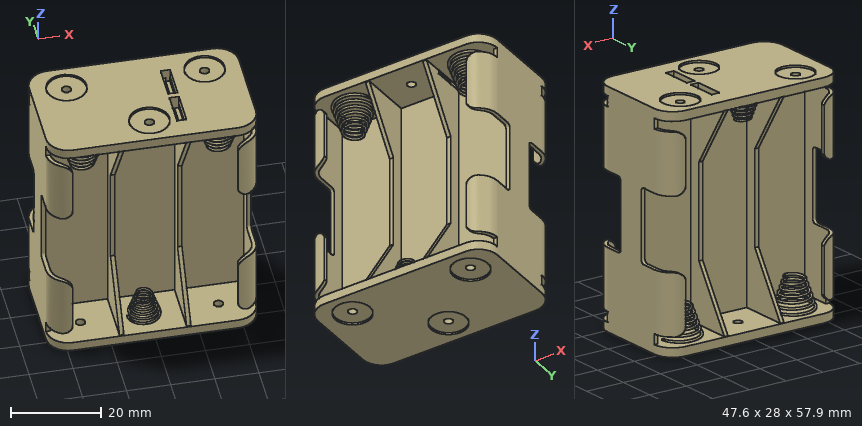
import cadquery as cq
import math


LENGTH = 47.6
DEPTH = 28.0
HEIGHT = 57.9
CORNER_RADIUS = 5.0
PLATE_THICKNESS = 2.3
SIDE_WALL = 1.0
MIDDLE_WALL = 1.6
INNER_HEIGHT = HEIGHT - 2 * PLATE_THICKNESS
INNER_TOP = INNER_HEIGHT / 2
FLAT_HALF_DEPTH = DEPTH / 2 - CORNER_RADIUS

WINDOW_HEIGHT = 18.0
WINDOW_BRIDGE = 7.9
WINDOW_FILLET = 1.0
LIP_GAP = 2.5
LIP_ROUND_RADIUS = 3.0
LIP_ROUND_HEIGHT = 1.75
LIP_ROUND_WIDTH = math.sqrt(LIP_ROUND_RADIUS**2 - (LIP_ROUND_RADIUS - LIP_ROUND_HEIGHT) ** 2)
LIP_HEIGHT = (INNER_HEIGHT - WINDOW_HEIGHT) / 2 - LIP_GAP

RIB_MIDDLE_REACH = WINDOW_BRIDGE / 2
RIB_OFFSET = 7.6
RIB_THICKNESS = 1.0
RIB_END_REACH = 13.7
RIB_SLOPE_HEIGHT = 15.0

CONTACT_PITCH = 15.65
CONTACT_OFFSET = 7.45
RECESS_DIAMETER = 9.1
RECESS_DEPTH = 0.5
RIVET_HOLE_DIAMETER = 2.1

SLOT_START = 0.72
SLOT_LENGTH = 8.05
SLOT_LEFT = 5.95
SLOT_WIDTH = RIB_OFFSET + RIB_THICKNESS / 2 - SLOT_LEFT
SLOT_NOTCH = 0.9
SLOT_DEPTH = PLATE_THICKNESS + SLOT_NOTCH

SPRING_TURNS = 6
SPRING_Y = -7.5
LARGE_SPRING_XS = (-15.32, 15.56)
LARGE_BASE_RADIUS = 4.87
LARGE_TIP_RADIUS = 2.05
LARGE_HEIGHT = 8.2
LARGE_WIRE = 0.6
SMALL_SPRING_X = -1.24
SMALL_BASE_RADIUS = 3.7
SMALL_TIP_RADIUS = 1.4
SMALL_HEIGHT = 6.5
SMALL_WIRE = 0.5


def half_turn_about_x(shape):
    return shape.rotate((0, 0, 0), (1, 0, 0), 180)


def make_shell():
    """Rounded box, open at the front and back between the wrapped side walls."""
    body = cq.Workplane("XY").box(LENGTH, DEPTH, HEIGHT).edges("|Z").fillet(CORNER_RADIUS)
    cavity = (
        cq.Workplane("XY")
        .box(LENGTH - 2 * SIDE_WALL, DEPTH - 2 * SIDE_WALL, INNER_HEIGHT)
        .edges("|Z")
        .fillet(CORNER_RADIUS - SIDE_WALL)
    )
    open_face = cq.Workplane("XY").box(LENGTH - 2 * CORNER_RADIUS, DEPTH, INNER_HEIGHT)
    return body.cut(cavity).cut(open_face)


def make_lip_corner():
    """Waste outside the rounded corner of one lip, its square corner at X = 0, Z = 0."""
    block = cq.Workplane("XZ").rect(-LIP_ROUND_WIDTH, LIP_ROUND_HEIGHT, centered=False)
    rounding = cq.Workplane("XZ").center(-LIP_ROUND_WIDTH, LIP_ROUND_RADIUS).circle(LIP_ROUND_RADIUS)
    return block.extrude(CORNER_RADIUS).cut(rounding.extrude(CORNER_RADIUS))


def make_side_opening():
    """Front half of the side-wall openings, cut through both side walls."""
    cut_depth = DEPTH / 2 - WINDOW_BRIDGE / 2
    opening = (
        cq.Workplane("XY")
        .box(LENGTH, cut_depth, WINDOW_HEIGHT)
        .edges("|X and >Y")
        .fillet(WINDOW_FILLET)
        .translate((0, -DEPTH / 2 + cut_depth / 2, 0))
    )
    gap = (
        cq.Workplane("XY")
        .box(LENGTH, CORNER_RADIUS, LIP_GAP)
        .translate((0, -DEPTH / 2 + CORNER_RADIUS / 2, INNER_TOP - LIP_GAP / 2))
    )
    opening = opening.union(gap).union(gap.mirror("XY"))

    lip_end_x = -LENGTH / 2 + CORNER_RADIUS
    lower_corner = make_lip_corner().translate((lip_end_x, -FLAT_HALF_DEPTH, WINDOW_HEIGHT / 2))
    upper_corner = make_lip_corner().mirror("XY")
    upper_corner = upper_corner.translate((lip_end_x, -FLAT_HALF_DEPTH, INNER_TOP - LIP_GAP))
    for corner in (lower_corner, upper_corner):
        corner_pair = corner.union(corner.mirror("YZ"))
        opening = opening.union(corner_pair).union(corner_pair.mirror("XY"))
    return opening


def make_rib(x):
    """Rib spanning front and back, wide at the plates and narrow at mid height."""
    slope_end = INNER_TOP - RIB_SLOPE_HEIGHT
    return (
        cq.Workplane("YZ", origin=(x - RIB_THICKNESS / 2, 0, 0))
        .moveTo(RIB_END_REACH, INNER_TOP)
        .lineTo(RIB_MIDDLE_REACH, slope_end)
        .lineTo(RIB_MIDDLE_REACH, -slope_end)
        .lineTo(RIB_END_REACH, -INNER_TOP)
        .lineTo(-RIB_END_REACH, -INNER_TOP)
        .lineTo(-RIB_MIDDLE_REACH, -slope_end)
        .lineTo(-RIB_MIDDLE_REACH, slope_end)
        .lineTo(-RIB_END_REACH, INNER_TOP)
        .close()
        .extrude(RIB_THICKNESS)
    )


def make_top_contact_cuts():
    """Recessed rivet holes in the top plate."""
    places = [
        (-CONTACT_PITCH, CONTACT_OFFSET),
        (CONTACT_PITCH, CONTACT_OFFSET),
        (0, -CONTACT_OFFSET),
    ]
    top_face = cq.Workplane("XY", origin=(0, 0, HEIGHT / 2)).pushPoints(places)
    recesses = top_face.circle(RECESS_DIAMETER / 2).extrude(-RECESS_DEPTH)
    holes = top_face.circle(RIVET_HOLE_DIAMETER / 2).extrude(-PLATE_THICKNESS)
    return recesses.union(holes)


def make_wire_slot(side):
    """One wire slot beside the right-hand rib, notching the rib and middle wall below it."""
    slot = cq.Workplane("XY").box(SLOT_WIDTH, SLOT_LENGTH, SLOT_DEPTH)
    centre_y = side * (SLOT_START + SLOT_LENGTH / 2)
    return slot.translate((SLOT_LEFT + SLOT_WIDTH / 2, centre_y, HEIGHT / 2 - SLOT_DEPTH / 2))


def make_spring(base_radius, tip_radius, height, wire):
    """Conical coil rising along +Z, its base coil centred on the XY plane."""
    pitch = height / SPRING_TURNS
    cone_angle = math.degrees(math.atan2(base_radius - tip_radius, height))
    path = cq.Wire.makeHelix(pitch, height, base_radius, angle=-cone_angle)
    section = cq.Workplane("XZ", origin=(base_radius, 0, 0)).circle(wire / 2)
    return section.sweep(cq.Workplane(path), isFrenet=True)


def make_front_springs():
    """Two large springs hanging from the top plate and a small one on the bottom plate."""
    large = half_turn_about_x(
        make_spring(LARGE_BASE_RADIUS, LARGE_TIP_RADIUS, LARGE_HEIGHT, LARGE_WIRE)
    )
    small = make_spring(SMALL_BASE_RADIUS, SMALL_TIP_RADIUS, SMALL_HEIGHT, SMALL_WIRE)
    small = small.rotate((0, 0, 0), (0, 0, 1), 180)
    springs = [large.translate((x, SPRING_Y, INNER_TOP)) for x in LARGE_SPRING_XS]
    springs.append(small.translate((SMALL_SPRING_X, SPRING_Y, -INNER_TOP)))
    return springs


def make_middle_wall():
    """Flat wall between the front and back cells, its edges buried in the shell."""
    return cq.Workplane("XY").box(LENGTH - SIDE_WALL, MIDDLE_WALL, HEIGHT - PLATE_THICKNESS)


side_opening = make_side_opening()
contact_cuts = make_top_contact_cuts()

result = make_shell().cut(side_opening).cut(half_turn_about_x(side_opening))
result = result.union(make_middle_wall())
for rib_x in (-RIB_OFFSET, RIB_OFFSET):
    result = result.union(make_rib(rib_x))
result = result.cut(contact_cuts).cut(half_turn_about_x(contact_cuts))
for slot_side in (-1, 1):
    result = result.cut(make_wire_slot(slot_side))

front_springs = make_front_springs()
back_springs = [half_turn_about_x(spring) for spring in front_springs]
spring_solids = [spring.val() for spring in front_springs + back_springs]
result = cq.Workplane(result.val().fuse(*spring_solids))